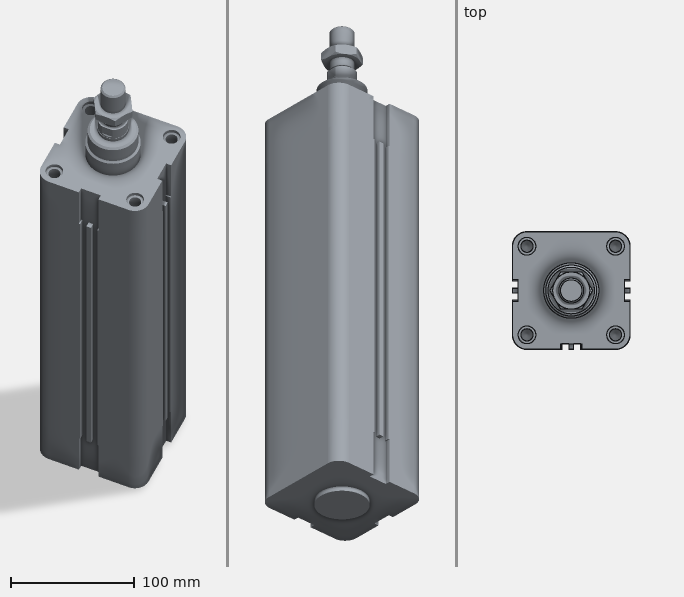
import cadquery as cq
import math


body_width = 95.5
corner_radius = 12.0
half_width = body_width / 2

total_height = 448.0
pilot_height = 4.0
cover_height = 40.5
cover_face_z = 362.0
rear_joint_z = pilot_height + cover_height
front_joint_z = cover_face_z - cover_height

pilot_diameter = 45.0
pilot_top_z = 378.5
neck_diameter = 41.0
neck_top_z = 394.0
edge_chamfer_width = 2.0
edge_chamfer_height = 1.5

slot_depth = 4.5
cover_slot_width = 17.5
tube_slot_width = 15.2
slot_rib_width = 4.0
slot_face_angles = (0, 90, -90)

hole_pitch = 71.5
counterbore_diameter = 14.5
counterbore_depth = 3.0
screw_hole_diameter = 10.0
screw_hole_depth = 27.0
drill_point_angle = 118.0

rod_diameter = 25.0
wrench_diameter = 24.5
wrench_bottom_z = 397.5
wrench_top_z = 408.0
wrench_width = 23.0
wrench_flat_bottom_z = 399.5
relief_diameter = 18.5
thread_diameter = 20.0
thread_bottom_z = 410.5
thread_chamfer = 1.5

nut_width = 30.0
nut_height = 9.0
nut_bottom_z = 418.0
nut_chamfer_angle = 30.0


def cylinder(diameter, bottom_z, top_z):
    """Round bar on the Z axis between two heights."""
    return cq.Workplane("XY").workplane(offset=bottom_z).circle(diameter / 2).extrude(top_z - bottom_z)


def chamfered_boss(diameter, bottom_z, top_z):
    """Round boss with a flat-angled chamfer around its top edge."""
    radius = diameter / 2
    profile = (
        cq.Workplane("XZ")
        .moveTo(0, bottom_z)
        .lineTo(radius, bottom_z)
        .lineTo(radius, top_z - edge_chamfer_height)
        .lineTo(radius - edge_chamfer_width, top_z)
        .lineTo(0, top_z)
        .close()
    )
    return profile.revolve(360, (0, 0, 0), (0, 1, 0))


def square_block(bottom_z, top_z):
    """Square block with rounded vertical edges."""
    block = cq.Workplane("XY").workplane(offset=bottom_z).rect(body_width, body_width)
    return block.extrude(top_z - bottom_z).edges("|Z").fillet(corner_radius)


def side_bar(center_x, width, bottom_z, top_z):
    """Bar as deep as a slot, lying just inside the -Y face."""
    bar = cq.Workplane("XY").box(width, slot_depth, top_z - bottom_z, centered=(True, False, False))
    return bar.translate((center_x, -half_width, bottom_z))


def cut_on_slot_faces(block, bar):
    """Cut a -Y face bar out of every slotted face."""
    for angle in slot_face_angles:
        block = block.cut(bar.rotate((0, 0, 0), (0, 0, 1), angle))
    return block


def screw_hole():
    """Cutter for a counterbored blind hole with a drill point, opening upward at the origin."""
    bore_radius = screw_hole_diameter / 2
    point_depth = bore_radius / math.tan(math.radians(drill_point_angle / 2))
    profile = (
        cq.Workplane("XZ")
        .moveTo(0, 0)
        .lineTo(counterbore_diameter / 2, 0)
        .lineTo(counterbore_diameter / 2, -counterbore_depth)
        .lineTo(bore_radius, -counterbore_depth)
        .lineTo(bore_radius, -screw_hole_depth)
        .lineTo(0, -screw_hole_depth - point_depth)
        .close()
    )
    return profile.revolve(360, (0, 0, 0), (0, 1, 0))


def make_cover(bottom_z):
    """Slotted square end block common to both covers."""
    top_z = bottom_z + cover_height
    return cut_on_slot_faces(square_block(bottom_z, top_z), side_bar(0, cover_slot_width, bottom_z, top_z))


def make_rear_cover():
    """Plain end cover with a short centring pilot underneath."""
    return make_cover(pilot_height).union(cylinder(pilot_diameter, 0, pilot_height))


def make_front_cover():
    """End cover with the stepped rod neck, the rod bore and four screw holes."""
    cover = make_cover(front_joint_z)
    cover = cover.union(chamfered_boss(pilot_diameter, cover_face_z, pilot_top_z))
    cover = cover.union(chamfered_boss(neck_diameter, pilot_top_z, neck_top_z))
    cover = cover.cut(cylinder(rod_diameter, front_joint_z, neck_top_z))
    for x_side in (-1, 1):
        for y_side in (-1, 1):
            place = (x_side * hole_pitch / 2, y_side * hole_pitch / 2, cover_face_z)
            cover = cover.cut(screw_hole().translate(place))
    return cover


def make_tube():
    """Body profile with a pair of grooves, split by a rib, on each slotted face."""
    groove_width = (tube_slot_width - slot_rib_width) / 2
    groove_offset = (slot_rib_width + groove_width) / 2
    tube = square_block(rear_joint_z, front_joint_z)
    for side in (-1, 1):
        groove = side_bar(side * groove_offset, groove_width, rear_joint_z, front_joint_z)
        tube = cut_on_slot_faces(tube, groove)
    return tube


def wrench_flat_cutter():
    """Cutter for the flat facing +Y, running out of the rod at 45 degrees at its lower end."""
    flat_y = wrench_width / 2
    outer_y = rod_diameter / 2
    profile = (
        cq.Workplane("YZ")
        .moveTo(flat_y, wrench_top_z)
        .lineTo(flat_y, wrench_flat_bottom_z)
        .lineTo(outer_y, wrench_flat_bottom_z - (outer_y - flat_y))
        .lineTo(outer_y, wrench_top_z)
        .close()
    )
    return profile.extrude(rod_diameter / 2, both=True)


def make_rod():
    """Rod with a slightly reduced wrench section, flats on -Y and +Y, a relief and a threaded end."""
    rod = cylinder(rod_diameter, front_joint_z, wrench_bottom_z)
    rod = rod.union(cylinder(wrench_diameter, wrench_bottom_z, wrench_top_z))
    for flat_turn in (0, 180):
        rod = rod.cut(wrench_flat_cutter().rotate((0, 0, 0), (0, 0, 1), flat_turn))
    rod = rod.union(cylinder(relief_diameter, wrench_top_z, thread_bottom_z))
    thread = cylinder(thread_diameter, thread_bottom_z, total_height).faces(">Z").chamfer(thread_chamfer)
    return rod.union(thread)


def make_nut():
    """Hexagon nut with its corners chamfered on both ends."""
    nut_corner_reach = nut_width / math.sqrt(3)
    corner_drop = (nut_corner_reach - nut_width / 2) * math.tan(math.radians(nut_chamfer_angle))
    hexagon = cq.Workplane("XY").polygon(6, 2 * nut_corner_reach).extrude(nut_height)
    chamfered_round = (
        cq.Workplane("XZ")
        .moveTo(0, 0)
        .lineTo(nut_width / 2, 0)
        .lineTo(nut_corner_reach, corner_drop)
        .lineTo(nut_corner_reach, nut_height - corner_drop)
        .lineTo(nut_width / 2, nut_height)
        .lineTo(0, nut_height)
        .close()
        .revolve(360, (0, 0, 0), (0, 1, 0))
    )
    nut = hexagon.intersect(chamfered_round).translate((0, 0, nut_bottom_z))
    return nut.cut(cylinder(thread_diameter, nut_bottom_z, nut_bottom_z + nut_height))


rear_cover = make_rear_cover()
tube = make_tube()
front_cover = make_front_cover()
rod = make_rod()
nut = make_nut()

result = cq.Compound.makeCompound([rear_cover.val(), tube.val(), front_cover.val(), rod.val(), nut.val()])